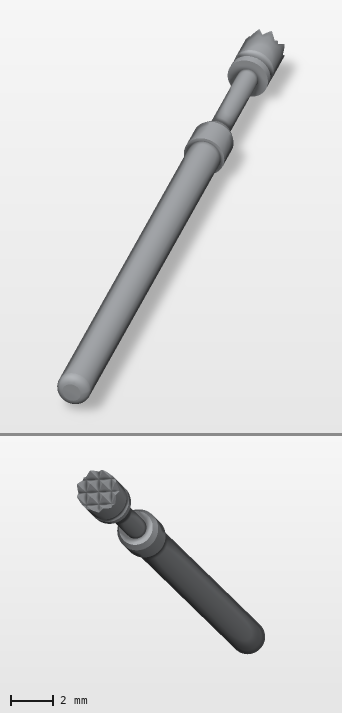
import cadquery as cq


total_length = 32.3
head_length = 2.97
flange_thickness = 0.42
groove_length = 0.55
stem_length = 5.33
collar_length = 1.95
collar_chamfer = 0.4
end_rounding_length = 0.42

head_diameter = 2.0
stem_diameter = 1.03
barrel_diameter = 1.65
end_face_diameter = 0.9
groove_depth = 0.1

serration_pitch = 0.6
serration_depth = 0.55
grooves_per_direction = 3

head_radius = head_diameter / 2
stem_radius = stem_diameter / 2
barrel_radius = barrel_diameter / 2
end_face_radius = end_face_diameter / 2
collar_front_radius = barrel_radius

tip_y = total_length / 2
rear_y = -tip_y
flange_rear_y = tip_y - head_length
flange_front_y = flange_rear_y + flange_thickness
groove_middle_y = flange_front_y + groove_length / 2
groove_front_y = flange_front_y + groove_length
collar_front_y = flange_rear_y - stem_length
collar_rear_y = collar_front_y - collar_length

end_rounding_height = barrel_radius - end_face_radius
end_rounding_radius = (end_rounding_height**2 + end_rounding_length**2) / (2 * end_rounding_height)


def make_body():
    """Revolve the half profile (radius, y) about the Y axis."""
    profile = (
        cq.Workplane("XY")
        .moveTo(0, rear_y)
        .lineTo(end_face_radius, rear_y)
        .radiusArc((barrel_radius, rear_y + end_rounding_length), -end_rounding_radius)
        .lineTo(barrel_radius, collar_rear_y)
        .lineTo(head_radius, collar_rear_y)
        .lineTo(head_radius, collar_front_y - collar_chamfer)
        .lineTo(collar_front_radius, collar_front_y)
        .lineTo(stem_radius, collar_front_y)
        .lineTo(stem_radius, flange_rear_y)
        .lineTo(head_radius, flange_rear_y)
        .lineTo(head_radius, flange_front_y)
        .threePointArc(
            (head_radius - groove_depth, groove_middle_y),
            (head_radius, groove_front_y),
        )
        .lineTo(head_radius, tip_y)
        .lineTo(0, tip_y)
        .close()
    )
    return profile.revolve(360, (0, 0, 0), (0, 1, 0))


def make_serration_groove(offset):
    """V groove running along Z through the head face, centred at x = offset."""
    return (
        cq.Workplane("XY")
        .moveTo(offset - serration_pitch / 2, tip_y)
        .lineTo(offset, tip_y - serration_depth)
        .lineTo(offset + serration_pitch / 2, tip_y)
        .close()
        .extrude(head_diameter, both=True)
    )


result = make_body()
for index in range(grooves_per_direction):
    offset = (index - (grooves_per_direction - 1) / 2) * serration_pitch
    groove = make_serration_groove(offset)
    crossing_groove = groove.rotate((0, 0, 0), (0, 1, 0), 90)
    result = result.cut(groove).cut(crossing_groove)